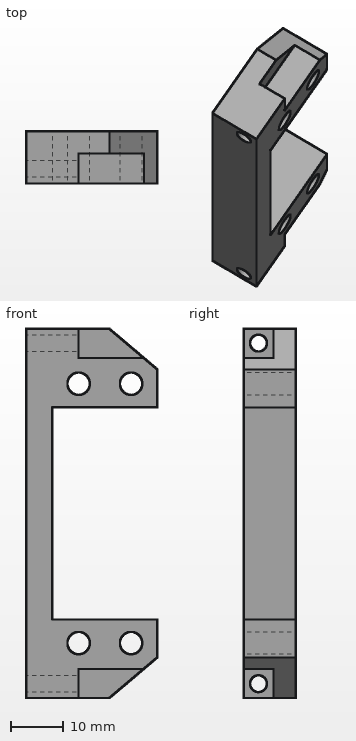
import cadquery as cq

width = 25.0
depth = 10.0
height = 70.5

spine_width = 5.0
arm_height = 15.0
chamfer_width = 9.2
chamfer_height = 7.75

arm_hole_diameter = 4.2
arm_hole_x_positions = (10.0, 20.0)
arm_hole_spacing_z = 49.5

pocket_start_x = 10.0
pocket_depth_y = 5.7
pocket_height = 5.6

screw_hole_diameter = 3.2
screw_hole_y = pocket_depth_y / 2
screw_hole_spacing_z = 65.0


def make_body():
    """C-shaped plate centred on Z = 0, with both outer arm corners cut off."""
    top = height / 2
    arm_inner_z = top - arm_height
    upper_half = [
        (spine_width, arm_inner_z),
        (width, arm_inner_z),
        (width, top - chamfer_height),
        (width - chamfer_width, top),
        (0, top),
    ]
    lower_half = [(x, -z) for x, z in reversed(upper_half)]
    return cq.Workplane("XZ").polyline(upper_half + lower_half).close().extrude(-depth)


def make_arm_holes():
    """Two through holes in each arm."""
    centers = [
        (x, side * arm_hole_spacing_z / 2)
        for x in arm_hole_x_positions
        for side in (-1, 1)
    ]
    return cq.Workplane("XZ").pushPoints(centers).circle(arm_hole_diameter / 2).extrude(-depth)


def make_pocket(side):
    """Pocket at the top (side = 1) or bottom (side = -1) corner."""
    center_z = side * (height - pocket_height) / 2
    return (
        cq.Workplane("XY")
        .box(width - pocket_start_x, pocket_depth_y, pocket_height, centered=(False, False, True))
        .translate((pocket_start_x, 0, center_z))
    )


def make_screw_holes():
    """One hole at each end of the spine, running into the pocket."""
    centers = [(screw_hole_y, side * screw_hole_spacing_z / 2) for side in (-1, 1)]
    return (
        cq.Workplane("YZ")
        .pushPoints(centers)
        .circle(screw_hole_diameter / 2)
        .extrude(pocket_start_x)
    )


result = make_body().cut(make_arm_holes()).cut(make_screw_holes())
for end in (-1, 1):
    result = result.cut(make_pocket(end))